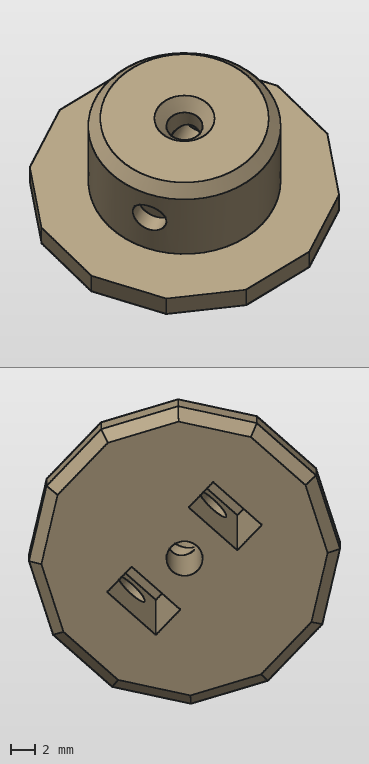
import cadquery as cq
import math

side_count = 12
flange_width = 25.0
flange_height = 3.0

boss_diameter = 16.0
boss_height = 8.0
total_height = flange_height + boss_height

chamfer_size = 1.0
hole_diameter = 3.0
countersink_diameter = hole_diameter + 2 * chamfer_size
cross_hole_z = flange_height + boss_height / 2

slot_width = 5.5
slot_thickness = 3.0
slot_outer_wall = 1.5
slot_height = total_height - chamfer_size


def make_flange():
    """Polygon plate with flats facing X and Y and a chamfered lower rim."""
    half_side_angle = 180.0 / side_count
    corner_diameter = flange_width / math.cos(math.radians(half_side_angle))
    plate = cq.Workplane("XY").polygon(side_count, corner_diameter).extrude(flange_height)
    plate = plate.rotate((0, 0, 0), (0, 0, 1), half_side_angle)
    return plate.faces("<Z").edges().chamfer(chamfer_size)


def make_boss():
    """Cylinder standing on the flange with a chamfered top edge."""
    boss = cq.Workplane("XY").workplane(offset=flange_height).circle(boss_diameter / 2).extrude(boss_height)
    return boss.faces(">Z").edges().chamfer(chamfer_size)


def make_axial_hole():
    """Vertical through hole, countersunk at the top of the boss."""
    bore = cq.Workplane("XY").circle(hole_diameter / 2).extrude(total_height)
    countersink = (
        cq.Workplane("XY")
        .workplane(offset=total_height - chamfer_size)
        .circle(hole_diameter / 2)
        .workplane(offset=chamfer_size)
        .circle(countersink_diameter / 2)
        .loft(ruled=True)
    )
    return bore.union(countersink)


def make_cross_hole():
    """Hole along Y through the full boss at mid-height."""
    return (
        cq.Workplane("XZ")
        .center(0, cross_hole_z)
        .circle(hole_diameter / 2)
        .extrude(boss_diameter / 2, both=True)
    )


def make_nut_slots():
    """Two matching rectangular slots, one on each Y side of the axial hole."""
    slot_center_y = boss_diameter / 2 - slot_outer_wall - slot_thickness / 2
    return (
        cq.Workplane("XY")
        .pushPoints([(0, -slot_center_y), (0, slot_center_y)])
        .rect(slot_width, slot_thickness)
        .extrude(slot_height)
    )


body = make_flange().union(make_boss())
result = body.cut(make_axial_hole()).cut(make_cross_hole()).cut(make_nut_slots())